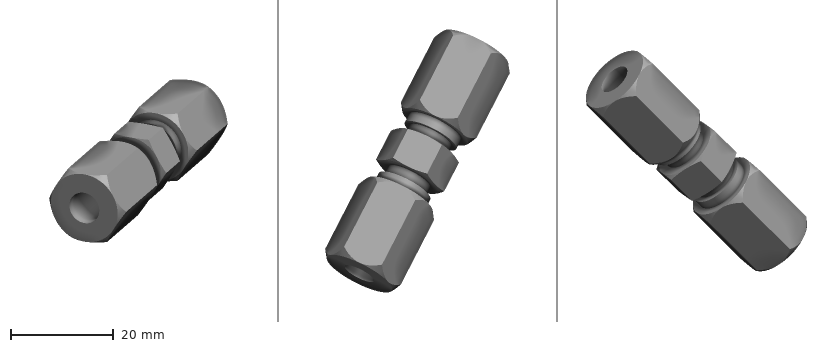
import cadquery as cq
import math

TOTAL_LENGTH = 51.15
NUT_LENGTH = 17.8
NUT_FLATS = 14.2
NUT_CHAMFER_DEPTH = 1.6
BODY_LENGTH = 7.25
BODY_FLATS = 12.8
BODY_CHAMFER_DEPTH = 0.35
COLLAR_DIAMETER = 11.25
COLLAR_LENGTH = 2.05
NECK_DIAMETER = 9.1
BORE_DIAMETER = 6.4

NUT_CENTER = (TOTAL_LENGTH - NUT_LENGTH) / 2
COLLAR_CENTER = TOTAL_LENGTH / 2 - NUT_LENGTH - COLLAR_LENGTH / 2


def cylinder(diameter, length, center=0.0):
    """Round bar along Y, centred at the given Y position."""
    bar = cq.Workplane("XZ").circle(diameter / 2).extrude(length / 2, both=True)
    return bar.translate((0, center, 0))


def chamfered_hex(flats, length, chamfer_depth, center=0.0):
    """Hexagonal bar along Y, with corners on the X axis and conical ends down to the flats."""
    corners = flats / math.cos(math.pi / 6)
    half_length = length / 2
    prism = cq.Workplane("XZ").polygon(6, corners).extrude(half_length, both=True)
    envelope = (
        cq.Workplane("XY")
        .moveTo(0, -half_length)
        .lineTo(flats / 2, -half_length)
        .lineTo(corners / 2, chamfer_depth - half_length)
        .lineTo(corners / 2, half_length - chamfer_depth)
        .lineTo(flats / 2, half_length)
        .lineTo(0, half_length)
        .close()
        .revolve(360, (0, 0, 0), (0, 1, 0))
    )
    return prism.intersect(envelope).translate((0, center, 0))


neck_length = TOTAL_LENGTH - 2 * NUT_LENGTH
fitting = cylinder(NECK_DIAMETER, neck_length)
fitting = fitting.union(
    chamfered_hex(BODY_FLATS, BODY_LENGTH, BODY_CHAMFER_DEPTH)
)

for side in (-1, 1):
    fitting = fitting.union(cylinder(COLLAR_DIAMETER, COLLAR_LENGTH, side * COLLAR_CENTER))
    fitting = fitting.union(
        chamfered_hex(NUT_FLATS, NUT_LENGTH, NUT_CHAMFER_DEPTH, side * NUT_CENTER)
    )

result = fitting.cut(cylinder(BORE_DIAMETER, TOTAL_LENGTH))